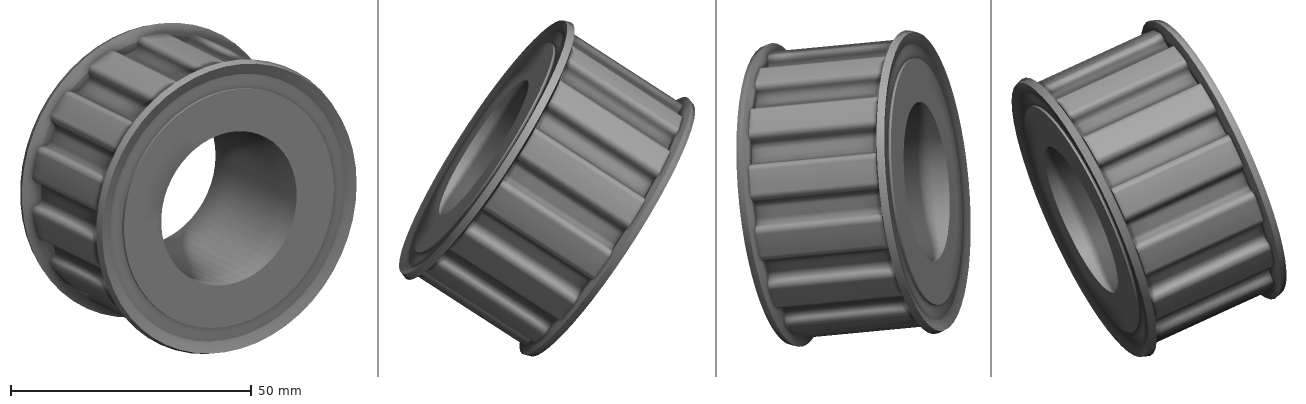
import cadquery as cq
import math

tooth_count = 14
tip_radius = 30.0
root_radius = 27.45
root_half_width = 2.15
flank_angle = 20
root_fillet = 1.45
tip_fillet = 1.45
rim_width = 27.55

hub_width = 31.75
hub_radius = 25.8
bore_radius = 16.65

total_width = 32.1
flange_radius = 31.75
flange_thickness = 1.5
flange_edge_radius = 31.25
dish_radius = 28.8
seat_radius = 29.2


def cylinder(radius, width):
    """Solid cylinder along X, centred on the origin."""
    return cq.Workplane("YZ", origin=(-width / 2, 0, 0)).circle(radius).extrude(width)


def groove():
    """Trapezoidal tooth gap on the -Y side, running along X and open beyond the tips."""
    mouth_radius = tip_radius + tip_fillet
    widening = (mouth_radius - root_radius) * math.tan(math.radians(flank_angle))
    mouth_half_width = root_half_width + widening
    return (
        cq.Workplane("YZ", origin=(-rim_width / 2, 0, 0))
        .polyline([
            (-root_radius, -root_half_width),
            (-root_radius, root_half_width),
            (-mouth_radius, mouth_half_width),
            (-mouth_radius, -mouth_half_width),
        ])
        .close()
        .extrude(rim_width)
    )


def axis_distance(edge):
    """Distance of an edge's middle from the X axis."""
    center = edge.Center()
    return math.hypot(center.y, center.z)


def toothed_rim():
    """Cylinder with evenly spaced grooves, rounded at the groove floors and tooth tips."""
    rim = cylinder(tip_radius, rim_width)
    gap = groove()
    pitch_angle = 360 / tooth_count
    for index in range(tooth_count):
        rim = rim.cut(gap.rotate((0, 0, 0), (1, 0, 0), index * pitch_angle))

    middle_radius = (tip_radius + root_radius) / 2
    floor_edges = [edge for edge in rim.edges("|X").vals() if axis_distance(edge) < middle_radius]
    rim = rim.newObject(floor_edges).fillet(root_fillet)

    tolerance = 0.005
    tip_edges = [edge for edge in rim.edges("|X").vals() if axis_distance(edge) > tip_radius - tolerance]
    return rim.newObject(tip_edges).fillet(tip_fillet)


def flange():
    """Flange at the -X end, revolved about the X axis."""
    inner_face = rim_width / 2
    outer_face = inner_face + flange_thickness
    edge_outer_x = total_width / 2
    edge_inner_x = edge_outer_x - flange_thickness
    return (
        cq.Workplane("XY")
        .polyline([
            (-inner_face, bore_radius),
            (-inner_face, seat_radius),
            (-edge_inner_x, flange_radius),
            (-edge_outer_x, flange_edge_radius),
            (-outer_face, dish_radius),
            (-outer_face, bore_radius),
        ])
        .close()
        .revolve(360, (0, 0, 0), (1, 0, 0))
    )


left_flange = flange()
right_flange = left_flange.mirror("YZ")
pulley = toothed_rim().union(cylinder(hub_radius, hub_width)).union(left_flange).union(right_flange)
result = pulley.cut(cylinder(bore_radius, total_width))